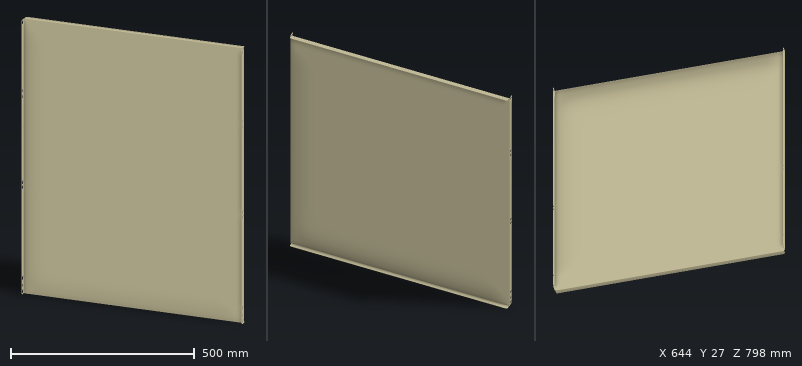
import cadquery as cq

height = 798.0
width = 644.0
depth = 27.0

sheet = 1.0
bend_outer = 1.75
bend_inner = bend_outer - sheet

front_y = -depth / 2
back_y = depth / 2
face_back_y = 2.0
face_front_y = face_back_y - sheet

lip_inset = 2.0
lip_corner = 4.0
lip_width = width - 2 * lip_inset
lip_depth = back_y - face_front_y

flange_corner = 3.0
flange_height = height - 2 * bend_outer
flange_depth = face_back_y - front_y

hole_y = -7.0
hole_diameter = 10.0
hole_heights = [389.5, -74.0, -88.0, -351.0, -389.5]
slot_length = 11.0
slot_width = 5.0
slot_heights = [190.0, 173.0, -373.5]


def make_side_channel():
    """Face and both side flanges, open toward -Y."""
    outside = (
        cq.Workplane("XY")
        .box(width, flange_depth, flange_height)
        .edges("|Z and >Y")
        .fillet(bend_outer)
    )
    inside = (
        cq.Workplane("XY")
        .box(width - 2 * sheet, flange_depth, flange_height)
        .edges("|Z and >Y")
        .fillet(bend_inner)
        .translate((0, -sheet, 0))
    )
    channel = outside.cut(inside).edges("|X and <Y").fillet(flange_corner)
    return channel.translate((0, (front_y + face_back_y) / 2, 0))


def make_lip_channel():
    """Face and both lips, open toward +Y."""
    outside = (
        cq.Workplane("XY")
        .box(lip_width, lip_depth, height)
        .edges("|X and <Y")
        .fillet(bend_outer)
    )
    inside = (
        cq.Workplane("XY")
        .box(lip_width, lip_depth, height - 2 * sheet)
        .edges("|X and <Y")
        .fillet(bend_inner)
        .translate((0, sheet, 0))
    )
    channel = outside.cut(inside).edges("|Z and >Y").fillet(lip_corner)
    return channel.translate((0, (face_front_y + back_y) / 2, 0))


def make_flange_holes():
    """Cutters running along X through both side flanges."""
    plane = cq.Workplane("YZ", origin=(-width / 2, 0, 0))
    holes = (
        plane.pushPoints([(hole_y, z) for z in hole_heights])
        .circle(hole_diameter / 2)
        .extrude(width)
    )
    slots = (
        plane.pushPoints([(hole_y, z) for z in slot_heights])
        .slot2D(slot_length, slot_width, angle=90)
        .extrude(width)
    )
    return holes.union(slots)


result = make_side_channel().union(make_lip_channel()).cut(make_flange_holes())